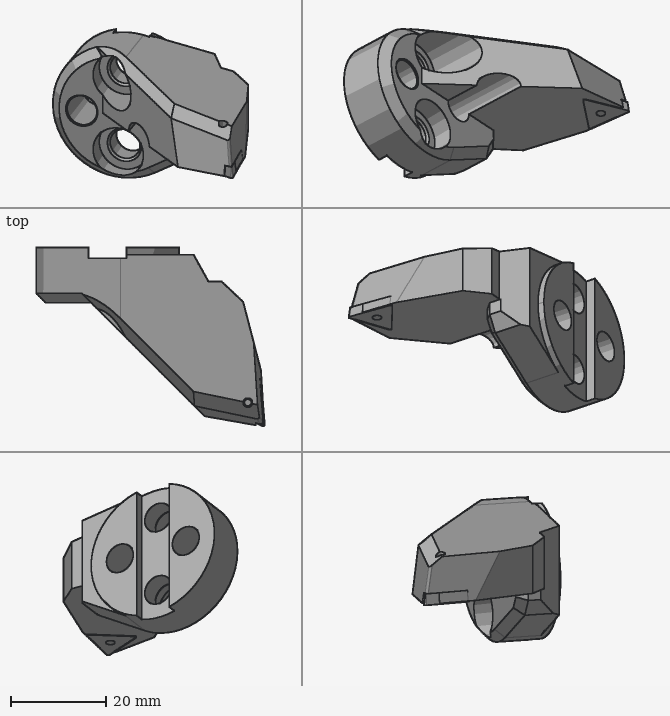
import cadquery as cq
import math


DISC_RADIUS = 30.0 / 2
PLATE_DEPTH = 11.6
BOSS_HEIGHT = 1.5
EDGE_CHAMFER = 2.0
FLANGE_SIDE_X = 21.0
FLANGE_CORNER_X = 19.0
FLANGE_SLOPE = math.radians(30)
FLANGE_CORNER_SLOPE = math.radians(60)

SLOT_WIDTH = 7.9
SLOT_DEPTH = 2.2

HOLE_DIAMETER = 6.55
SIDE_HOLE_OFFSET = 8.0
SIDE_HOLE_CHAMFER = 0.25
BOLT_OFFSET = 8.5
BOLT_HOLE_CHAMFER = 0.5
COUNTERBORE_DIAMETER = 11.05
COUNTERBORE_FLOOR_DEPTH = 7.2

TOP_SLOPE = math.radians(10)
FRONT_FACE_START_X = -3.4
ARM_ROOT_Y = -4.8
ARM_BLANK_END_Y = -43.2
REAR_CORNER = (18.05, -BOSS_HEIGHT)
STEP_INNER = (21.15, -7.1)
STEP_OUTER = (23.9, STEP_INNER[1])
SHOULDER = (28.45, -11.4)

TIP_X = 20.4
TIP_ANGLE = 10
TIP_DRAFT = 10
TIP_CHAMFER_SETBACK = 2.6
SIDE_START = (32.2, -25.8)
SIDE_ANGLE = 3.5
SIDE_DRAFT = 7
NOSE_FILLET = 0.5

INSERT_CENTER = (29.4, -32.55)
INSERT_CORNER_RADIUS = 6.35
INSERT_NOSE_RADIUS = 0.4
INSERT_TURN = -25
INSERT_CLEARANCE = 7
INSERT_BOTTOM = -0.2
INSERT_THICKNESS = 2.4
NOSE_RELIEF_CORNER = (31.1, -36.5)

SCREW_DIAMETER = 1.9
SCREW_END = 5.75
SCREW_END_CHAMFER = 0.25

FAR = 72


def top_z(x):
    """Height of the sloping top plane, which is tangent to the disc."""
    return DISC_RADIUS / math.cos(TOP_SLOPE) - x * math.tan(TOP_SLOPE)


def front_y(x):
    """Y of the arm's 45 degree front face."""
    return FRONT_FACE_START_X - PLATE_DEPTH - x


def on_disc(angle):
    """Point (X, Z) on the disc rim at an angle from +X."""
    return (DISC_RADIUS * math.cos(angle), DISC_RADIUS * math.sin(angle))


def beyond_wall(point, heading, draft):
    """Block outside a wall that passes through a point at Z = 0.

    heading is the direction of the outward normal from +X; draft leans the wall inwards going up.
    """
    block = cq.Workplane("XY").box(FAR, 2 * FAR, 2 * FAR, centered=(False, True, True))
    block = block.rotate((0, 0, 0), (0, 1, 0), -draft)
    return block.rotate((0, 0, 0), (0, 0, 1), heading).translate((*point, 0))


def cylinder_along_y(x, z, diameter, start_depth, end_depth):
    """Cylinder between two depths from the boss face."""
    start = cq.Workplane("XZ", origin=(x, -start_depth, z))
    return start.circle(diameter / 2).extrude(end_depth - start_depth)



def make_plate():
    """Disc with its flange, chamfered along the front, and the round boss behind it."""
    upper_tangent = on_disc(math.pi / 2 - TOP_SLOPE)
    lower_tangent = on_disc(FLANGE_SLOPE - math.pi / 2)
    corner_z = lower_tangent[1] + (FLANGE_CORNER_X - lower_tangent[0]) * math.tan(FLANGE_SLOPE)
    side_z = corner_z + (FLANGE_SIDE_X - FLANGE_CORNER_X) * math.tan(FLANGE_CORNER_SLOPE)
    plate = (
        cq.Workplane("XZ", origin=(0, -BOSS_HEIGHT, 0))
        .moveTo(*upper_tangent)
        .threePointArc((-DISC_RADIUS, 0), lower_tangent)
        .lineTo(FLANGE_CORNER_X, corner_z)
        .lineTo(FLANGE_SIDE_X, side_z)
        .lineTo(FLANGE_SIDE_X, top_z(FLANGE_SIDE_X))
        .close()
        .extrude(PLATE_DEPTH - BOSS_HEIGHT)
        .faces("<Y")
        .edges()
        .chamfer(EDGE_CHAMFER)
    )
    rear_corner_waste = (
        cq.Workplane("XY", origin=(0, 0, -FAR / 2))
        .polyline([REAR_CORNER, STEP_INNER, (FAR, STEP_INNER[1]), (FAR, 0), (REAR_CORNER[0], 0)])
        .close()
        .extrude(FAR)
    )
    boss = cylinder_along_y(0, 0, 2 * DISC_RADIUS, 0, PLATE_DEPTH / 2)
    return plate.cut(rear_corner_waste).union(boss)


def make_arm_blank():
    """Plan of the arm, cut off by the sloping top plane; tip and side still run past their walls."""
    root_x = FRONT_FACE_START_X - PLATE_DEPTH - ARM_ROOT_Y
    end_x = FRONT_FACE_START_X - PLATE_DEPTH - ARM_BLANK_END_Y
    side_step = (SIDE_START[0] - SHOULDER[0]) / (SHOULDER[1] - SIDE_START[1])
    side_end_x = SHOULDER[0] + side_step * (SHOULDER[1] - ARM_BLANK_END_Y)
    plan = (
        cq.Workplane("XY")
        .polyline(
            [
                (root_x, ARM_ROOT_Y),
                (root_x, -BOSS_HEIGHT),
                REAR_CORNER,
                STEP_INNER,
                STEP_OUTER,
                SHOULDER,
                (side_end_x, ARM_BLANK_END_Y),
                (end_x, ARM_BLANK_END_Y),
            ]
        )
        .close()
        .extrude(FAR)
    )
    below_top = (
        cq.Workplane("XZ")
        .polyline([(root_x, 0), (root_x, top_z(root_x)), (FAR, top_z(FAR)), (FAR, 0)])
        .close()
        .extrude(FAR)
    )
    return plan.intersect(below_top)


def make_arm():
    """Arm with its chamfered front and tip faces, drafted side wall and rounded nose edge."""
    front_top_edge = cq.NearestToPointSelector((0, front_y(0), top_z(0)))
    arm = make_arm_blank().edges(front_top_edge).chamfer(EDGE_CHAMFER)

    tip_corner = (TIP_X, front_y(TIP_X))
    arm = arm.cut(beyond_wall(tip_corner, -90 - TIP_ANGLE, TIP_DRAFT))
    tip_top_edge = cq.NearestToPointSelector((INSERT_CENTER[0], tip_corner[1], top_z(INSERT_CENTER[0])))
    arm = arm.edges(tip_top_edge).chamfer(TIP_CHAMFER_SETBACK, EDGE_CHAMFER)

    arm = arm.cut(beyond_wall(SIDE_START, SIDE_ANGLE, SIDE_DRAFT))
    nose_edge = cq.NearestToPointSelector((SIDE_START[0], tip_corner[1], top_z(SIDE_START[0]) / 2))
    return arm.edges(nose_edge).fillet(NOSE_FILLET)


def make_round_envelope():
    """Space under the disc's rounded top-left side and the sloping top plane."""
    return (
        cq.Workplane("XZ")
        .moveTo(*on_disc(math.pi / 2 - TOP_SLOPE))
        .threePointArc((-DISC_RADIUS, 0), (0, -DISC_RADIUS))
        .lineTo(FAR, -DISC_RADIUS)
        .lineTo(FAR, top_z(FAR))
        .close()
        .extrude(FAR)
    )


def mounting_hole(x, z, mouth_depth, chamfer):
    """Cutter for a through hole from the boss face to a chamfered mouth."""
    bore = cylinder_along_y(x, z, HOLE_DIAMETER, 0, mouth_depth)
    mouth = (
        cq.Workplane("XZ", origin=(x, -mouth_depth, z))
        .circle(HOLE_DIAMETER / 2 + chamfer)
        .extrude(-chamfer, taper=45)
    )
    return bore.union(mouth)


def cut_mounting_features(head):
    slot = cq.Workplane("XY").box(SLOT_WIDTH, 2 * SLOT_DEPTH, 2 * FAR)
    head = head.cut(slot)
    for z in (-BOLT_OFFSET, BOLT_OFFSET):
        head = head.cut(cylinder_along_y(0, z, COUNTERBORE_DIAMETER, COUNTERBORE_FLOOR_DEPTH, FAR))
        head = head.cut(mounting_hole(0, z, COUNTERBORE_FLOOR_DEPTH, BOLT_HOLE_CHAMFER))
    head = head.cut(mounting_hole(-SIDE_HOLE_OFFSET, 0, PLATE_DEPTH, SIDE_HOLE_CHAMFER))
    return head.cut(cylinder_along_y(SIDE_HOLE_OFFSET, 0, HOLE_DIAMETER, 0, FAR))


def cut_insert_features(head, insert_seat):
    """Seat, relief around the insert's cutting corner, and screw hole through to the top."""
    nose_relief = (
        cq.Workplane("XY", origin=(*NOSE_RELIEF_CORNER, INSERT_BOTTOM))
        .rect(FAR, -FAR, centered=False)
        .extrude(INSERT_THICKNESS)
    )
    screw_hole = cq.Workplane("XY", origin=(*INSERT_CENTER, 0)).circle(SCREW_DIAMETER / 2).extrude(FAR)
    return head.cut(insert_seat).cut(nose_relief).cut(screw_hole)


def make_head(insert_seat):
    head = make_arm().union(make_plate()).intersect(make_round_envelope())
    head = cut_mounting_features(head)
    return cut_insert_features(head, insert_seat)



def make_insert_blank():
    """Insert without its screw hole: a triangle that narrows going up from its cutting face."""
    triangle = (
        cq.Sketch()
        .regularPolygon(INSERT_CORNER_RADIUS, 3, INSERT_TURN)
        .vertices()
        .fillet(INSERT_NOSE_RADIUS)
    )
    return (
        cq.Workplane("XY", origin=(*INSERT_CENTER, INSERT_BOTTOM))
        .placeSketch(triangle)
        .extrude(INSERT_THICKNESS, taper=INSERT_CLEARANCE)
    )



def make_screw():
    """Plain shank through the insert, ending with a chamfer inside the head."""
    return (
        cq.Workplane("XY", origin=(*INSERT_CENTER, INSERT_BOTTOM))
        .circle(SCREW_DIAMETER / 2)
        .extrude(SCREW_END - INSERT_BOTTOM)
        .faces(">Z")
        .edges()
        .chamfer(SCREW_END_CHAMFER)
    )


insert_blank = make_insert_blank()
head = make_head(insert_blank)
screw = make_screw()
insert = insert_blank.cut(screw)

result = cq.Compound.makeCompound([head.val(), insert.val(), screw.val()])